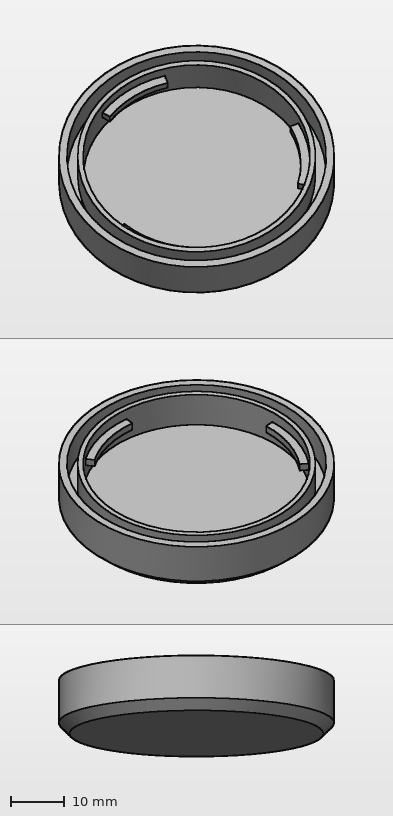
import cadquery as cq

outer_diameter = 51.0
height = 10.0
bottom_chamfer = 2.0

groove_outer_diameter = 48.0
groove_inner_diameter = 44.0
groove_floor_z = 4.0

recess_diameter = 42.0
recess_floor_z = 3.0

tab_count = 3
tab_span = 40.0
tab_first_angle = 30.0
tab_inner_diameter = 38.6
tab_bottom_z = 6.25
tab_thickness = 1.5


def ring(ring_outer_diameter, ring_inner_diameter, bottom_z, ring_height):
    """Full ring centred on the Z axis."""
    return (
        cq.Workplane("XY")
        .workplane(offset=bottom_z)
        .circle(ring_outer_diameter / 2)
        .circle(ring_inner_diameter / 2)
        .extrude(ring_height)
    )


def cap_body():
    """Disc with a chamfered bottom edge, a central recess and an annular groove."""
    disc = cq.Workplane("XY").circle(outer_diameter / 2).extrude(height)
    disc = disc.faces("<Z").edges().chamfer(bottom_chamfer)
    recess = (
        cq.Workplane("XY")
        .workplane(offset=recess_floor_z)
        .circle(recess_diameter / 2)
        .extrude(height - recess_floor_z)
    )
    groove = ring(
        groove_outer_diameter,
        groove_inner_diameter,
        groove_floor_z,
        height - groove_floor_z,
    )
    return disc.cut(recess).cut(groove)


def bayonet_tab(center_angle):
    """Arc-shaped tab that reaches to the middle of the inner ring wall."""
    root_radius = (recess_diameter + groove_inner_diameter) / 4
    inner_radius = tab_inner_diameter / 2
    profile = (
        cq.Workplane("XZ")
        .moveTo(inner_radius, tab_bottom_z)
        .lineTo(root_radius, tab_bottom_z)
        .lineTo(root_radius, tab_bottom_z + tab_thickness)
        .lineTo(inner_radius, tab_bottom_z + tab_thickness)
        .close()
    )
    tab = profile.revolve(tab_span, (0, 0, 0), (0, 1, 0))
    return tab.rotate((0, 0, 0), (0, 0, 1), center_angle - tab_span / 2)


result = cap_body()
for index in range(tab_count):
    tab_angle = tab_first_angle + index * 360 / tab_count
    result = result.union(bayonet_tab(tab_angle))